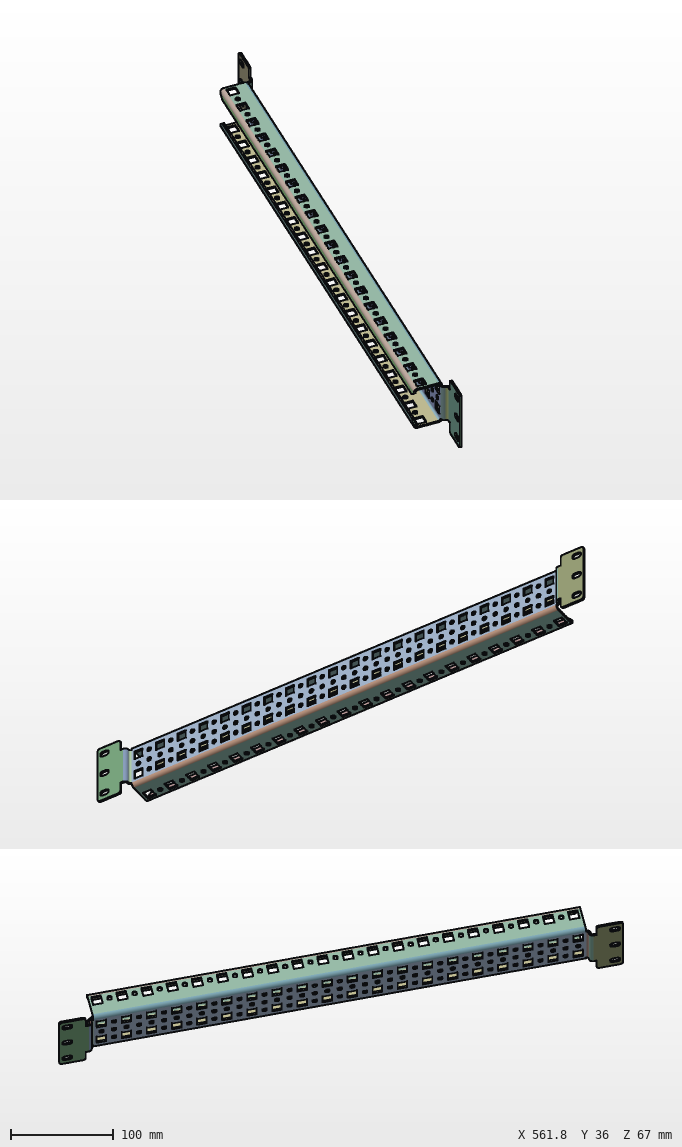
import cadquery as cq

overall_length = 561.8
overall_depth = 36.0
sheet = 2.0

channel_length = 491.0
channel_height = 50.0
lip_width = 10.0
bend_outer_radius = 4.0
bend_inner_radius = bend_outer_radius - sheet

web_rear = bend_outer_radius + bend_inner_radius
lip_chamfer = 5.0

ear_width = 26.5
ear_height = 67.0
ear_corner_radius = 3.0
ear_slot_length = 10.0
ear_slot_width = 6.0
ear_slot_pitch = 25.0
ear_slot_edge = 3.0

neck_height = channel_height - 2 * bend_outer_radius
ear_overlap = 2.0
web_overlap = 1.0

pitch = 25.0
square_count = 20
square_size = 9.5
round_diameter = 4.5
web_row_height = 12.5
flange_row_depth = 26.0

half_length = overall_length / 2
half_channel = channel_length / 2
half_height = channel_height / 2
lip_edge = half_height - lip_width
first_square = -pitch * (square_count - 1) / 2
square_places = [first_square + pitch * i for i in range(square_count)]
between_places = [first_square + pitch * (i + 0.5) for i in range(square_count - 1)]


def channel():
    """Folded C section along X with rounded bends."""
    outer_depth = overall_depth - web_rear
    inner_depth = outer_depth - 2 * sheet
    inner_height = channel_height - 2 * sheet
    outer = (
        cq.Workplane("XY")
        .box(channel_length, outer_depth, channel_height, centered=(True, False, True))
        .translate((0, -overall_depth, 0))
        .edges("|X")
        .fillet(bend_outer_radius)
    )
    inner = (
        cq.Workplane("XY")
        .box(channel_length, inner_depth, inner_height, centered=(True, False, True))
        .translate((0, sheet - overall_depth, 0))
        .edges("|X")
        .fillet(bend_inner_radius)
    )
    mouth = (
        cq.Workplane("XY")
        .box(channel_length, 2 * sheet, 2 * lip_edge)
        .translate((0, -overall_depth, 0))
    )
    return outer.cut(inner).cut(mouth)


def lip_corner(side_x, side_z):
    """Triangular prism that bevels one free corner of a lip."""
    end = side_x * half_channel
    edge = side_z * lip_edge
    return (
        cq.Workplane("XZ", origin=(0, sheet - overall_depth, 0))
        .moveTo(end, edge)
        .lineTo(end - side_x * lip_chamfer, edge)
        .lineTo(end, edge + side_z * lip_chamfer)
        .close()
        .extrude(sheet)
    )


def square_row(plane, across):
    """Square outlines at every pitch, in a row at one height of the work plane."""
    points = [(x, across) for x in square_places]
    return cq.Workplane(plane).pushPoints(points).rect(square_size, square_size)


def round_row(plane, places, across):
    """Round outlines at the given X places, in a row at one height of the work plane."""
    points = [(x, across) for x in places]
    return cq.Workplane(plane).pushPoints(points).circle(round_diameter / 2)


def web_cutters():
    """Three rows through the web only."""
    reach = web_rear + 2 * sheet
    cutters = round_row("XZ", square_places + between_places, 0).extrude(reach)
    for row in (-web_row_height, web_row_height):
        cutters = cutters.add(square_row("XZ", row).extrude(reach))
        cutters = cutters.add(round_row("XZ", between_places, row).extrude(reach))
    return cutters


def flange_cutters():
    """One row of squares and rounds through both flanges."""
    squares = square_row("XY", -flange_row_depth).extrude(half_height, both=True)
    rounds = round_row("XY", between_places, -flange_row_depth).extrude(half_height, both=True)
    return squares.add(rounds)


def ear():
    """Flat slotted plate at the -X end."""
    slot_x = -half_length + ear_slot_edge + ear_slot_length / 2
    slots = (
        cq.Workplane("XZ")
        .pushPoints([(slot_x, ear_slot_pitch * i) for i in (-1, 0, 1)])
        .slot2D(ear_slot_length, ear_slot_width)
        .extrude(sheet)
    )
    return (
        cq.Workplane("XZ")
        .center(-half_length + ear_width / 2, 0)
        .rect(ear_width, ear_height)
        .extrude(sheet)
        .edges("|Y")
        .fillet(ear_corner_radius)
        .cut(slots)
    )


def neck():
    """Strip joining the ear at -X to the channel web through two opposite right-angle bends."""
    flat_start = -half_length + ear_width - ear_overlap
    first_bend_x = -half_channel - web_rear
    web_front = web_rear + sheet
    middle_y = -bend_outer_radius
    return (
        cq.Workplane("XY", origin=(0, 0, -neck_height / 2))
        .moveTo(flat_start, 0)
        .lineTo(first_bend_x, 0)
        .radiusArc((first_bend_x + bend_outer_radius, middle_y), bend_outer_radius)
        .radiusArc((-half_channel, -web_rear), -bend_inner_radius)
        .lineTo(-half_channel + web_overlap, -web_rear)
        .lineTo(-half_channel + web_overlap, -web_front)
        .lineTo(-half_channel, -web_front)
        .radiusArc((-half_channel - bend_outer_radius, middle_y), bend_outer_radius)
        .radiusArc((first_bend_x, -sheet), -bend_inner_radius)
        .lineTo(flat_start, -sheet)
        .close()
        .extrude(neck_height)
    )


rail = channel().cut(web_cutters()).cut(flange_cutters())
for side_x in (-1, 1):
    for side_z in (-1, 1):
        rail = rail.cut(lip_corner(side_x, side_z))

bracket = ear().union(neck())
result = rail.union(bracket).union(bracket.mirror("YZ"))